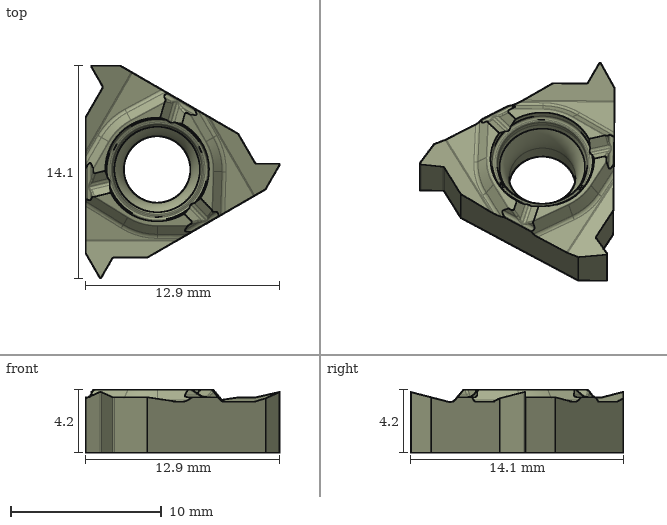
import cadquery as cq
import math

CORNERS = 3
CORNER_ANGLE = 360 / CORNERS

BOSS_TOP = 4.2
FLOOR_HEIGHT = 3.4
LEDGE_HEIGHT = 3.7

INSCRIBED_RADIUS = 9.5 / 2
TIP_X = -3.764
SHARP_TIP_Y = -7.285
FLANK_ANGLE = 60
SHOULDER_Y = -5.855
SIDE_NORMAL_ANGLE = -60
TIP_RADIUS = 0.067
NECK_RADIUS = 0.125
BLANK_RADIUS = 10.0

RAKE_START = 4.702
RAKE_ANGLE = 14.5
RAKE_BLEND_RADIUS = 0.3
RAKE_UNDERLAP = 0.4

BOSS_RADIUS = 3.73
BOSS_SWEEP_ANGLE = 31.8
BOSS_WALL_ANGLE = 40
BOSS_FOOT_RADIUS = 0.35
BOSS_EDGE_RADIUS = 0.04

LEDGE_FOOT = 4.66
LEDGE_BLEND_RADIUS = 0.285
LEDGE_WALL_ANGLE = 66
LEDGE_CUTTER_HEIGHT = 1.0
LEDGE_HALF_LENGTH = 3.4

GROOVE_DIRECTION = 74
GROOVE_HALF_WIDTH = 0.75
GROOVE_FLOOR_HALF_WIDTH = 0.02
GROOVE_WALL_ANGLE = 38
GROOVE_BLEND_RADIUS = 0.33
GROOVE_START = 2.8
GROOVE_LENGTH = 4.0
GROOVE_MOUTH_RADIUS = 0.15

HOLE_RADIUS = 4.4 / 2
HOLE_STRAIGHT_DEPTH = 1.37
SEAT_ARC_RADIUS = 2.37
SEAT_RADIUS = 2.84
SEAT_BEVEL_RADIUS = 2.97
SEAT_BEVEL_TOP = 3.33
STEP_HEIGHT = 3.7
STEP_RADIUS = 3.165
STEP_BLEND = 0.185
STEP_EDGE_RADIUS = 3.07
STEP_EDGE_BLEND = 0.07
MOUTH_RADIUS = 3.45


def unit(angle):
    return math.cos(math.radians(angle)), math.sin(math.radians(angle))


def turned(point, angle):
    c, s = unit(angle)
    return c * point[0] - s * point[1], s * point[0] + c * point[1]


def around(shape):
    """Three copies of a shape, one for each corner."""
    return [shape.rotate((0, 0, 0), (0, 0, 1), i * CORNER_ANGLE) for i in range(CORNERS)]


def side_profile_plane(normal_angle, start):
    """Vertical plane whose x is the distance along normal_angle and whose y is height."""
    c, s = unit(normal_angle)
    along = (s, -c, 0)
    origin = (along[0] * start, along[1] * start, 0)
    return cq.Plane(origin=origin, xDir=(c, s, 0), normal=along)


def make_prism():
    """Triangular body with a pointed thread tooth at each corner."""
    flank_slope = math.tan(math.radians(FLANK_ANGLE))
    neck_x = TIP_X + (SHOULDER_Y - SHARP_TIP_Y) / flank_slope
    side_start_y = SHARP_TIP_Y + (TIP_X + INSCRIBED_RADIUS) * flank_slope
    c, s = unit(SIDE_NORMAL_ANGLE)
    shoulder_end_x = (INSCRIBED_RADIUS - s * SHOULDER_Y) / c
    corner = [
        (-INSCRIBED_RADIUS, side_start_y),
        (TIP_X, SHARP_TIP_Y),
        (neck_x, SHOULDER_Y),
        (shoulder_end_x, SHOULDER_Y),
    ]
    points = [turned(p, i * CORNER_ANGLE) for i in range(CORNERS) for p in corner]
    prism = cq.Workplane("XY").polyline(points).close().extrude(BOSS_TOP)
    for i in range(CORNERS):
        for point, radius in ((corner[1], TIP_RADIUS), (corner[2], NECK_RADIUS)):
            x, y = turned(point, i * CORNER_ANGLE)
            edge = cq.selectors.NearestToPointSelector((x, y, BOSS_TOP / 2))
            prism = prism.edges("|Z").edges(edge).fillet(radius)
    return prism


def make_rake():
    """Wedge that rises from the floor towards one tip, with a rounded start."""
    half = RAKE_ANGLE / 2
    tangent = RAKE_BLEND_RADIUS * math.tan(math.radians(half))
    c, s = unit(RAKE_ANGLE)
    blend_middle = (
        RAKE_START - tangent + RAKE_BLEND_RADIUS * unit(half)[1],
        FLOOR_HEIGHT + RAKE_BLEND_RADIUS * (1 - unit(half)[0]),
    )
    rise = (BLANK_RADIUS - RAKE_START) * math.tan(math.radians(RAKE_ANGLE))
    return (
        cq.Workplane(side_profile_plane(-90, -BLANK_RADIUS))
        .moveTo(RAKE_START - tangent, FLOOR_HEIGHT)
        .threePointArc(blend_middle, (RAKE_START + tangent * c, FLOOR_HEIGHT + tangent * s))
        .lineTo(BLANK_RADIUS, FLOOR_HEIGHT + rise)
        .lineTo(BLANK_RADIUS, FLOOR_HEIGHT - RAKE_UNDERLAP)
        .lineTo(RAKE_START - tangent, FLOOR_HEIGHT - RAKE_UNDERLAP)
        .close()
        .extrude(2 * BLANK_RADIUS)
    )


def boss_section(height):
    """Closed outline of the ring at one height: three arcs joined by crossing tangent lines."""
    radius = BOSS_RADIUS + (BOSS_TOP - height) * math.tan(math.radians(BOSS_WALL_ANGLE))
    arc_end = -90
    arc_start = arc_end - BOSS_SWEEP_ANGLE
    arc_middle = (arc_start + arc_end) / 2
    half_turn = (CORNER_ANGLE - BOSS_SWEEP_ANGLE) / 2
    meeting_radius = radius / unit(half_turn)[0]

    def at(angle, distance=radius):
        c, s = unit(angle)
        return distance * c, distance * s

    outline = cq.Workplane("XY").workplane(offset=height).moveTo(*at(arc_start))
    for i in range(CORNERS):
        turn = i * CORNER_ANGLE
        outline = (
            outline.threePointArc(at(arc_middle + turn), at(arc_end + turn))
            .lineTo(*at(arc_end + half_turn + turn, meeting_radius))
            .lineTo(*at(arc_start + CORNER_ANGLE + turn))
        )
    return outline.wire().val()


def make_blank():
    """Floor disc with the ring and the three rake wedges."""
    ring = cq.Workplane(
        cq.Solid.makeLoft([boss_section(FLOOR_HEIGHT), boss_section(BOSS_TOP)], True)
    )
    ring = ring.faces(">Z").edges().fillet(BOSS_EDGE_RADIUS)
    blank = cq.Workplane("XY").circle(BLANK_RADIUS).extrude(FLOOR_HEIGHT).union(ring)
    reach = 2 * BLANK_RADIUS
    foot_box = cq.selectors.BoxSelector(
        (-reach, -reach, FLOOR_HEIGHT - BOSS_EDGE_RADIUS),
        (reach, reach, FLOOR_HEIGHT + BOSS_EDGE_RADIUS),
        boundingbox=True,
    )
    disc_rim = cq.selectors.RadiusNthSelector(-1)
    foot = blank.edges(cq.selectors.SubtractSelector(foot_box, disc_rim))
    blank = foot.fillet(BOSS_FOOT_RADIUS)
    for rake in around(make_rake()):
        blank = blank.union(rake)
    return blank


def make_ledge_cutter():
    """Cutter that clears the ring above the ledge along one side."""
    half = LEDGE_WALL_ANGLE / 2
    c, s = unit(LEDGE_WALL_ANGLE)
    blend_middle = (
        LEDGE_FOOT - LEDGE_BLEND_RADIUS * unit(half)[1],
        LEDGE_HEIGHT + LEDGE_BLEND_RADIUS * (1 - unit(half)[0]),
    )
    blend_end = (
        LEDGE_FOOT - LEDGE_BLEND_RADIUS * s,
        LEDGE_HEIGHT + LEDGE_BLEND_RADIUS * (1 - c),
    )
    cutter_top = LEDGE_HEIGHT + LEDGE_CUTTER_HEIGHT
    wall_run = (cutter_top - blend_end[1]) / math.tan(math.radians(LEDGE_WALL_ANGLE))
    return (
        cq.Workplane(side_profile_plane(180, -LEDGE_HALF_LENGTH))
        .moveTo(LEDGE_FOOT, LEDGE_HEIGHT)
        .threePointArc(blend_middle, blend_end)
        .lineTo(blend_end[0] - wall_run, cutter_top)
        .lineTo(BLANK_RADIUS, cutter_top)
        .lineTo(BLANK_RADIUS, LEDGE_HEIGHT)
        .close()
        .extrude(2 * LEDGE_HALF_LENGTH)
    )


def make_groove_cutter():
    """Rounded V-shaped cutter lying along one chip groove."""
    c, s = unit(GROOVE_WALL_ANGLE)
    blend_half_width = GROOVE_FLOOR_HALF_WIDTH + GROOVE_BLEND_RADIUS * s
    blend_rise = GROOVE_BLEND_RADIUS * (1 - c)
    depth = blend_rise + (GROOVE_HALF_WIDTH - blend_half_width) * s / c
    bottom = BOSS_TOP - depth
    half_c, half_s = unit(GROOVE_WALL_ANGLE / 2)
    middle_x = GROOVE_FLOOR_HALF_WIDTH + GROOVE_BLEND_RADIUS * half_s
    middle_z = bottom + GROOVE_BLEND_RADIUS * (1 - half_c)
    top_half_width = GROOVE_HALF_WIDTH + depth * c / s
    direction = unit(GROOVE_DIRECTION)
    plane = cq.Plane(
        origin=(direction[0] * GROOVE_START, direction[1] * GROOVE_START, 0),
        xDir=(-direction[1], direction[0], 0),
        normal=(direction[0], direction[1], 0),
    )
    return (
        cq.Workplane(plane)
        .moveTo(-GROOVE_FLOOR_HALF_WIDTH, bottom)
        .lineTo(GROOVE_FLOOR_HALF_WIDTH, bottom)
        .threePointArc((middle_x, middle_z), (blend_half_width, bottom + blend_rise))
        .lineTo(top_half_width, BOSS_TOP + depth)
        .lineTo(-top_half_width, BOSS_TOP + depth)
        .lineTo(-blend_half_width, bottom + blend_rise)
        .threePointArc((-middle_x, middle_z), (-GROOVE_FLOOR_HALF_WIDTH, bottom))
        .close()
        .extrude(GROOVE_LENGTH)
    )


def make_hole_cutter():
    """Screw hole: straight bore, curved seat, bevels and the step inside the ring."""
    seat_width = SEAT_RADIUS - HOLE_RADIUS
    arc_centre_r = HOLE_RADIUS + SEAT_ARC_RADIUS
    seat_height = math.sqrt(SEAT_ARC_RADIUS**2 - (SEAT_ARC_RADIUS - seat_width) ** 2)
    seat_angle = math.degrees(math.asin(seat_height / SEAT_ARC_RADIUS))
    half_c, half_s = unit(seat_angle / 2)
    arc_middle = (
        arc_centre_r - SEAT_ARC_RADIUS * half_c,
        HOLE_STRAIGHT_DEPTH + SEAT_ARC_RADIUS * half_s,
    )
    return (
        cq.Workplane("XZ")
        .lineTo(HOLE_RADIUS, 0)
        .lineTo(HOLE_RADIUS, HOLE_STRAIGHT_DEPTH)
        .threePointArc(arc_middle, (SEAT_RADIUS, HOLE_STRAIGHT_DEPTH + seat_height))
        .lineTo(SEAT_BEVEL_RADIUS, SEAT_BEVEL_TOP)
        .lineTo(STEP_EDGE_RADIUS - STEP_EDGE_BLEND, STEP_HEIGHT - STEP_EDGE_BLEND)
        .radiusArc((STEP_EDGE_RADIUS, STEP_HEIGHT), STEP_EDGE_BLEND)
        .lineTo(STEP_RADIUS, STEP_HEIGHT)
        .radiusArc((STEP_RADIUS + STEP_BLEND, STEP_HEIGHT + STEP_BLEND), -STEP_BLEND)
        .lineTo(MOUTH_RADIUS, BOSS_TOP)
        .lineTo(0, BOSS_TOP)
        .close()
        .revolve(360, (0, 0, 0), (0, 1, 0))
    )


def round_groove_mouths(body):
    """Round the edge along which each groove runs out into the ledge."""
    side_angle = SIDE_NORMAL_ANGLE + CORNER_ANGLE
    distance = LEDGE_FOOT / unit(GROOVE_DIRECTION - side_angle)[0]
    c, s = unit(GROOVE_DIRECTION)
    for i in range(CORNERS):
        x, y = turned((distance * c, distance * s), i * CORNER_ANGLE)
        mouth = cq.selectors.NearestToPointSelector((x, y, LEDGE_HEIGHT))
        body = body.edges(mouth).fillet(GROOVE_MOUTH_RADIUS)
    return body


result = make_blank().intersect(make_prism())
for cutter in around(make_ledge_cutter()):
    result = result.cut(cutter)
for cutter in around(make_groove_cutter()):
    result = result.cut(cutter)
result = round_groove_mouths(result)
result = result.cut(make_hole_cutter())